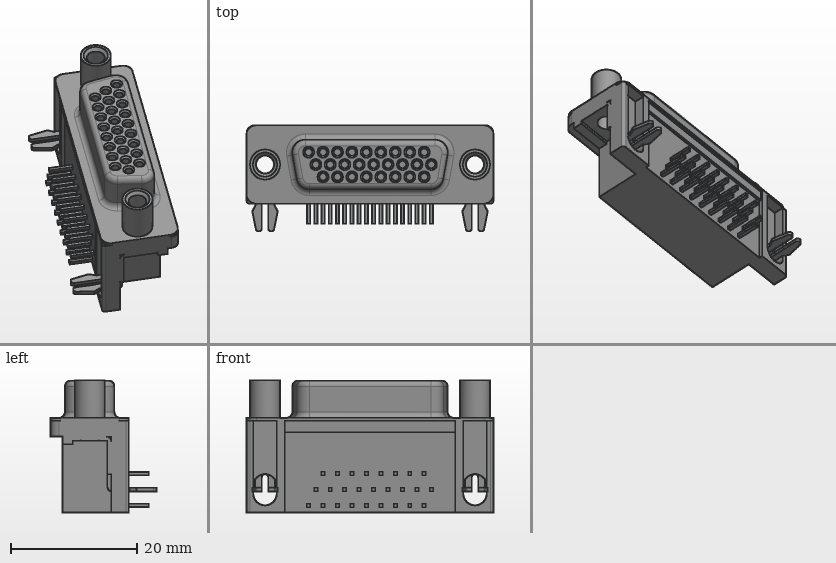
import cadquery as cq
import math


length = 39.2
depth = 12.45
half_length = length / 2
front_y = -depth / 2
rear_y = depth / 2
plate_top = 15.05
plate_thickness = 0.47
plate_bottom = plate_top - plate_thickness
plate_corner_radius = 1.53
flange_bottom = 12.07
flange_corner_radius = 1.35

body_width = 27.05
half_body = body_width / 2
body_rear = 4.3
face_recess = 0.6
fascia_bottom = 12.75
fascia_recess = 0.25

rear_rib_bottom = 10.85
rear_rib_front = 2.7

leg_rear = -2.8
leg_edge_radius = 0.5
leg_pocket_width = 3.7
leg_pocket_depth = 1.72
leg_hole_bottom = 1.18
leg_hole_top = 6.1

sheet_thickness = 0.63
bracket_bottom = flange_bottom - sheet_thickness
bracket_front = leg_rear - sheet_thickness
bracket_bend_radius = 0.7

lock_bottom = 3.35
lock_step_top = 6.08
lock_half_width = 1.6
lock_bend_radius = 0.27
lock_slot_width = 0.98
prong_root_half_width = 1.5
prong_barb_half_width = 2.0
prong_barb_start = -6.4
prong_barb_top = -7.35
prong_barb_end = -7.55
prong_tip_half_width = 1.5
prong_length = 4.4
prong_tip_y = front_y - prong_length

fixing_x = 16.65
standoff_top = 21.05
standoff_radius = 2.4
standoff_bore_radius = 1.4
standoff_countersink_radius = 1.92

shell_top = 20.97
shell_half_width = 12.05
shell_depth = 7.88
shell_half_depth = shell_depth / 2
shell_side_angle = 10.0
shell_corner_radius = 2.05
shell_edge_radius = 0.95

full_row_count = 9
full_row_span = 18.35
pitch = full_row_span / (full_row_count - 1)
contact_row_spacing = 1.95
contact_mouth_diameter = 1.75
contact_bore_diameter = 1.18
contact_mouth_angle = 90.0
contact_depth = 2.35
pin_size = 0.55
pin_length = 3.18
pin_embed = 1.18
pin_bottom_row_z = 1.18
pin_row_spacing = 2.5
row_starts = [-4.25 * pitch, -3.75 * pitch, -3.25 * pitch]
row_counts = [full_row_count, full_row_count, full_row_count - 1]


def block(x_range, y_range, z_range):
    """Box spanning the given (low, high) ranges."""
    size = [high - low for low, high in (x_range, y_range, z_range)]
    low_corner = (x_range[0], y_range[0], z_range[0])
    return cq.Workplane("XY").box(*size, centered=False).translate(low_corner)


def row_points(row, across):
    """Points of one contact row, all at the same second coordinate."""
    return [(row_starts[row] + pitch * i, across) for i in range(row_counts[row])]


def make_plate_and_shell():
    """Mounting plate with the D-shaped shell rising from it through a concave fillet."""
    plate = (
        cq.Workplane("XY")
        .workplane(offset=plate_bottom)
        .rect(length, depth)
        .extrude(plate_thickness)
        .edges("|Z")
        .fillet(plate_corner_radius)
    )
    lean = shell_half_depth * math.tan(math.radians(shell_side_angle))
    rear_half = shell_half_width + lean
    front_half = shell_half_width - lean
    shell = (
        cq.Workplane("XY")
        .workplane(offset=plate_bottom)
        .polyline(
            [
                (-rear_half, shell_half_depth),
                (rear_half, shell_half_depth),
                (front_half, -shell_half_depth),
                (-front_half, -shell_half_depth),
            ]
        )
        .close()
        .extrude(shell_top - plate_bottom)
        .edges("|Z")
        .fillet(shell_corner_radius)
        .faces(">Z")
        .edges()
        .fillet(shell_edge_radius)
    )
    margin = 0.05
    root_edges = cq.selectors.BoxSelector(
        (-fixing_x, front_y + margin, plate_top - margin),
        (fixing_x, rear_y - margin, plate_top + margin),
    )
    return plate.union(shell).edges(root_edges).fillet(shell_edge_radius)


def make_body():
    """Main body with its fascia, the flange, the bracket sheet below it and the rear rib."""
    face_y = front_y + face_recess
    body = block((-half_body, half_body), (face_y, body_rear), (0, plate_bottom))
    fascia = block(
        (-half_body, half_body),
        (front_y + fascia_recess, body_rear),
        (fascia_bottom, plate_bottom),
    )
    flange = (
        block((-half_length, half_length), (leg_rear, rear_y), (flange_bottom, plate_bottom))
        .edges("|Z and >Y")
        .fillet(flange_corner_radius)
    )
    bracket = block(
        (-half_length, half_length), (leg_rear, body_rear), (bracket_bottom, plate_bottom)
    )
    rear_rib = block(
        (-half_length, half_length), (rear_rib_front, body_rear), (rear_rib_bottom, plate_bottom)
    )
    return body.union(fascia).union(flange).union(bracket).union(rear_rib)


def make_leg():
    """Right-hand leg with its front pocket, obround hole and step for the board lock."""
    leg = (
        block((half_body, half_length), (front_y, leg_rear), (0, plate_bottom))
        .edges("|Z and <Y and >X")
        .fillet(leg_edge_radius)
    )
    half_pocket = leg_pocket_width / 2
    hole_centre = (leg_hole_bottom + leg_hole_top) / 2
    pocket = block(
        (fixing_x - half_pocket, fixing_x + half_pocket),
        (front_y, front_y + leg_pocket_depth),
        (hole_centre, plate_bottom),
    )
    hole = (
        cq.Workplane("XZ", origin=(fixing_x, 0, hole_centre))
        .slot2D(leg_hole_top - leg_hole_bottom, leg_pocket_width, 90)
        .extrude(depth)
    )
    step = block((half_body, half_length), (bracket_front, leg_rear), (0, lock_step_top))
    return leg.cut(pocket).cut(hole).cut(step)


def make_bend_gap():
    """Right-hand gap between the square housing corner and the rounded bracket bend."""
    arc_y = bracket_front + bracket_bend_radius
    arc_z = flange_bottom - bracket_bend_radius
    return (
        cq.Workplane("YZ", origin=(half_body, 0, 0))
        .moveTo(bracket_front, arc_z)
        .lineTo(bracket_front, flange_bottom)
        .lineTo(arc_y, flange_bottom)
        .radiusArc((bracket_front, arc_z), -bracket_bend_radius)
        .close()
        .extrude(half_length - half_body)
    )


def make_board_lock():
    """Right-hand board lock: upright tab bent forward into two barbed prongs."""
    lock_top = lock_bottom + sheet_thickness
    outer_bend = lock_bend_radius + sheet_thickness
    tab = (
        cq.Workplane("YZ", origin=(fixing_x - lock_half_width, 0, 0))
        .moveTo(front_y, lock_bottom)
        .lineTo(leg_rear - outer_bend, lock_bottom)
        .radiusArc((leg_rear, lock_bottom + outer_bend), -outer_bend)
        .lineTo(leg_rear, lock_step_top)
        .lineTo(bracket_front, lock_step_top)
        .lineTo(bracket_front, lock_top + lock_bend_radius)
        .radiusArc((bracket_front - lock_bend_radius, lock_top), lock_bend_radius)
        .lineTo(front_y, lock_top)
        .close()
        .extrude(2 * lock_half_width)
    )
    tab_sides = [
        block(
            (fixing_x + low, fixing_x + high),
            (front_y, bracket_front - lock_bend_radius),
            (lock_bottom, lock_top),
        )
        for low, high in (
            (-lock_half_width, -prong_root_half_width),
            (prong_root_half_width, lock_half_width),
        )
    ]
    for side in tab_sides:
        tab = tab.cut(side)

    half_slot = lock_slot_width / 2
    tip_radius = (prong_tip_half_width - half_slot) / 2
    tip_start = prong_tip_y + tip_radius
    prong = (
        cq.Workplane("XY", origin=(fixing_x, 0, lock_bottom))
        .moveTo(half_slot, bracket_front)
        .lineTo(prong_root_half_width, bracket_front)
        .lineTo(prong_root_half_width, prong_barb_start)
        .lineTo(prong_barb_half_width, prong_barb_top)
        .lineTo(prong_barb_half_width, prong_barb_end)
        .lineTo(prong_tip_half_width, tip_start)
        .threePointArc((half_slot + tip_radius, prong_tip_y), (half_slot, tip_start))
        .close()
        .extrude(sheet_thickness)
    )
    other_prong = prong.mirror("YZ", (fixing_x, 0, 0))
    slot = (
        cq.Workplane("XZ", origin=(fixing_x, 0, 0))
        .moveTo(-half_slot, 0)
        .lineTo(-half_slot, lock_step_top - half_slot)
        .threePointArc((0, lock_step_top), (half_slot, lock_step_top - half_slot))
        .lineTo(half_slot, 0)
        .close()
        .extrude(depth)
    )
    return tab.union(prong).union(other_prong).cut(slot)


def make_standoff():
    """Right-hand standoff, still without its bore."""
    return (
        cq.Workplane("XY", origin=(fixing_x, 0, plate_bottom))
        .circle(standoff_radius)
        .extrude(standoff_top - plate_bottom)
    )


def make_standoff_bore():
    """Through bore with a 45 degree countersink at the top."""
    bore = cq.Workplane("XY", origin=(fixing_x, 0, 0)).circle(standoff_bore_radius).extrude(standoff_top)
    countersink = cq.Solid.makeCone(
        0, standoff_countersink_radius, standoff_countersink_radius,
        pnt=cq.Vector(fixing_x, 0, standoff_top - standoff_countersink_radius),
    )
    return bore.union(cq.Workplane(countersink))


def cut_contacts(part):
    """Blind contact bores with conical mouths in the mating face."""
    for row in range(len(row_counts)):
        row_y = contact_row_spacing * (1 - row)
        part = (
            part.copyWorkplane(cq.Workplane("XY", origin=(0, 0, shell_top)))
            .pushPoints(row_points(row, row_y))
            .cskHole(contact_bore_diameter, contact_mouth_diameter, contact_mouth_angle, contact_depth)
        )
    return part


def add_pins(part):
    """Square solder pins leaving the front face of the body."""
    embedded_end = front_y + face_recess + pin_embed
    for row in range(len(row_counts)):
        row_z = pin_bottom_row_z + pin_row_spacing * row
        pins = (
            cq.Workplane("XZ", origin=(0, embedded_end, 0))
            .pushPoints(row_points(row, row_z))
            .rect(pin_size, pin_size)
            .extrude(pin_length + face_recess + pin_embed)
        )
        part = part.union(pins)
    return part


def both_ends(right_hand):
    """Feature of the +X end together with its mirror image at the -X end."""
    return right_hand.union(right_hand.mirror("YZ"))


result = make_plate_and_shell().union(make_body())
result = result.union(both_ends(make_leg()))
result = result.cut(both_ends(make_bend_gap()))
result = result.union(both_ends(make_board_lock()))
result = result.union(both_ends(make_standoff()))
result = result.cut(both_ends(make_standoff_bore()))
result = cut_contacts(result)
result = add_pins(result)